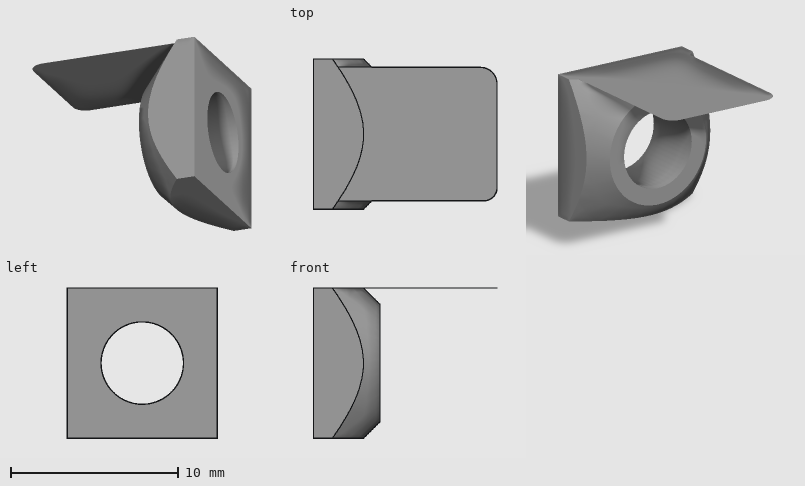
import cadquery as cq

body_width = 9.0
body_length = 4.0
bore_diameter = 4.92
front_face_diameter = 7.0

overall_length = 11.0
tab_width = 8.0
tab_thickness = 0.01
tab_left_corner_radius = 1.0
tab_right_corner_radius = 0.8
tab_start = 1.0


def make_body():
    """Square block whose corners are cut back by a 45 degree cone."""
    block = cq.Workplane("YZ").rect(body_width, body_width).extrude(body_length)
    front_radius = front_face_diameter / 2
    back_radius = front_radius + body_length
    cone = (
        cq.Workplane("XY")
        .moveTo(0, 0)
        .lineTo(0, back_radius)
        .lineTo(body_length, front_radius)
        .lineTo(body_length, 0)
        .close()
        .revolve(360, (0, 0, 0), (1, 0, 0))
    )
    return block.intersect(cone)


def make_tab():
    """Flat strip along +X with its two free corners rounded."""
    tab_bottom = body_width / 2 - tab_thickness
    tab_length = overall_length - tab_start
    tab_centre_x = tab_start + tab_length / 2
    return (
        cq.Workplane("XY", origin=(tab_centre_x, 0, tab_bottom))
        .rect(tab_length, tab_width)
        .extrude(tab_thickness)
        .edges(">(1, 1, 0) and |Z")
        .fillet(tab_left_corner_radius)
        .edges(">(1, -1, 0) and |Z")
        .fillet(tab_right_corner_radius)
    )


def make_bore():
    """Round through hole along the body axis."""
    return cq.Workplane("YZ").circle(bore_diameter / 2).extrude(body_length)


result = make_body().union(make_tab()).cut(make_bore())